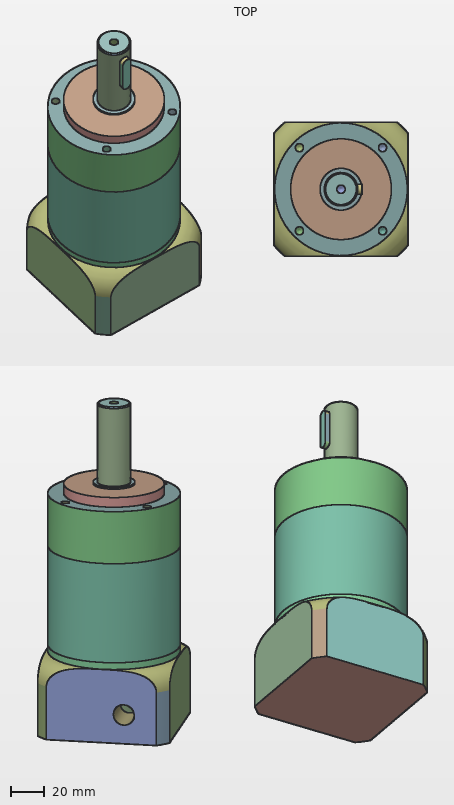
import cadquery as cq
import math

total_height = 199.5

flange_width = 80.0
flange_corner_radius = 52.0
shoulder_radius = 12.5
shoulder_top = 45.5

housing_diameter = 79.0
flange_top = 49.7
ring_gear_top = 111.1
cover_top = 143.5

access_diameter = 12.5
access_y = -13.5
access_z = 18.0
hub_diameter = 38.0

pilot_diameter = 60.0
pilot_top = 149.5
bolt_circle_diameter = 70.0
bolt_count = 4
first_bolt_angle = 45
bolt_hole_diameter = 4.8
bolt_hole_depth = 10.0
drill_point_angle = 118

shaft_diameter = 20.0
shaft_chamfer = 0.8
collar_diameter = 25.0
collar_height = 1.0
center_hole_diameter = 5.0
center_hole_depth = 16.0

key_width = 6.0
key_length = 25.0
key_top = 194.5
key_height = 6.0
key_outer_x = 12.5


def cylinder(diameter, bottom, top):
    return cq.Workplane("XY", origin=(0, 0, bottom)).circle(diameter / 2).extrude(top - bottom)


def drilled_hole(x, y, top, diameter, depth):
    """Cutter for a blind hole going down from `top` with a conical drill point."""
    radius = diameter / 2
    point_height = radius / math.tan(math.radians(drill_point_angle / 2))
    profile = (
        cq.Workplane("XZ")
        .lineTo(radius, 0)
        .lineTo(radius, -depth)
        .lineTo(0, -depth - point_height)
        .close()
    )
    return profile.revolve(360, (0, 0), (0, 1)).translate((x, y, top))


def access_hole():
    """Cutter from the -X face to the surface of the clamp hub."""
    bore = (
        cq.Workplane("YZ", origin=(-flange_width / 2, access_y, access_z))
        .circle(access_diameter / 2)
        .extrude(flange_width / 2)
    )
    return bore.cut(cylinder(hub_diameter, 0, shoulder_top))


def make_motor_flange():
    """Square block trimmed by a round, filleted blank, with a round neck on top."""
    round_blank = (
        cylinder(2 * flange_corner_radius, 0, shoulder_top)
        .faces(">Z")
        .edges()
        .fillet(shoulder_radius)
    )
    square = cq.Workplane("XY").rect(flange_width, flange_width).extrude(shoulder_top)
    neck = cylinder(housing_diameter, 0, flange_top)
    return square.intersect(round_blank).union(neck).cut(access_hole())


def make_ring_gear():
    return cylinder(housing_diameter, flange_top, ring_gear_top)


def make_output_cover():
    cover = cylinder(housing_diameter, ring_gear_top, cover_top)
    cover = cover.union(cylinder(pilot_diameter, cover_top, pilot_top))
    for index in range(bolt_count):
        angle = math.radians(first_bolt_angle + index * 360 / bolt_count)
        x = bolt_circle_diameter / 2 * math.cos(angle)
        y = bolt_circle_diameter / 2 * math.sin(angle)
        cover = cover.cut(drilled_hole(x, y, cover_top, bolt_hole_diameter, bolt_hole_depth))
    return cover


def make_key():
    """Key with fully rounded ends, lying along Z in its keyway."""
    key_inner_x = key_outer_x - key_height
    return (
        cq.Workplane("YZ", origin=(key_inner_x, 0, key_top - key_length / 2))
        .slot2D(key_length, key_width, 90)
        .extrude(key_height)
    )


def make_shaft():
    shaft = cylinder(shaft_diameter, pilot_top, total_height)
    shaft = shaft.faces(">Z").edges().chamfer(shaft_chamfer)
    shaft = shaft.union(cylinder(collar_diameter, pilot_top, pilot_top + collar_height))
    shaft = shaft.cut(drilled_hole(0, 0, total_height, center_hole_diameter, center_hole_depth))
    keyway = make_key()
    return shaft.cut(keyway)


motor_flange = make_motor_flange()
ring_gear = make_ring_gear()
output_cover = make_output_cover()
shaft = make_shaft()
key = make_key()

result = cq.Compound.makeCompound(
    [motor_flange.val(), ring_gear.val(), output_cover.val(), shaft.val(), key.val()]
)